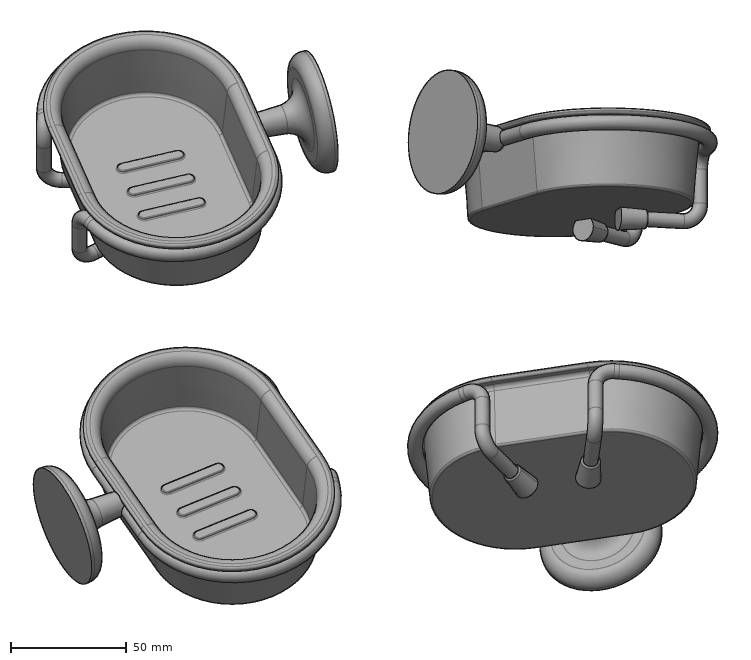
import cadquery as cq
import math


tray_end_x = 21.3
tray_height = 33.3
tray_thickness = 2.7
floor_z = 3.1
rim_radius = 44.5
rim_edge_fillet = 1.2
flare_radius = 4.9
flare_center_radius = 41.7
wall_lean = math.radians(5)
base_edge_fillet = 1.0
floor_fillet = 1.4

rib_count = 3
rib_spacing = 15.0
rib_length = 30.2
rib_width = 5.0
rib_height = 1.1
rib_fillet = 0.48

flange_back_y = 72.0
flange_radius = 27.0
flange_thickness = 7.5
flange_rounding = 6.0
post_axis_z = flange_radius
post_flare_radius = 16.3
post_neck_y = 55.7
post_neck_radius = 6.4
post_tip_y = 42.1
post_tip_radius = 5.5
post_tip_fillet = 2.0

wire_radius = 3.3
ring_end_x = 21.0
ring_center_y = -0.8
ring_radius = 43.6
ring_end_angle = math.radians(18.4)
arm_length = 10.0
bend_radius = 7.9
lower_wire_z = -3.8
lower_wire_length = 36.8

foot_length = 12.5
foot_front_radius = 4.2
foot_end_radius = 5.6
foot_edge_fillet = 0.7


def stadium_solid(half_section):
    """Carry a (radius, Z) half section around the tray's stadium outline."""
    face = cq.Face.makeFromWires(half_section.val())
    whole_width = cq.Vector(2 * tray_end_x, 0, 0)
    left_x = cq.Vector(-tray_end_x, 0, 0)

    middle = cq.Solid.extrudeLinear(face.moved(cq.Location(left_x)), whole_width)
    back_middle = cq.Workplane(middle)
    front_middle = back_middle.mirror("XZ")
    end = cq.Solid.revolve(face, 180, cq.Vector(0, 0, 0), cq.Vector(0, 0, 1))
    left_end = cq.Workplane(end).translate(left_x)
    right_end = left_end.mirror("YZ")
    return right_end.union(left_end).union(back_middle).union(front_middle)


def along_wall(radius_from_flare_center, z):
    """Point at height z on the leaning wall line that is tangent to the given flare circle."""
    flare_center_z = tray_height - flare_radius
    tangent_radius = flare_center_radius - radius_from_flare_center * math.cos(wall_lean)
    tangent_z = flare_center_z + radius_from_flare_center * math.sin(wall_lean)
    return tangent_radius + (z - tangent_z) * math.tan(wall_lean), z


def outer_section():
    """Open outer contour of the tray, from the centre of its base out to the top of the rim."""
    under_flare_radius = flare_radius - tray_thickness
    rim_bottom = tray_height - tray_thickness
    flare_start_z = tray_height - flare_radius + under_flare_radius * math.sin(wall_lean)
    base_radius = along_wall(under_flare_radius, 0)[0]
    return (
        cq.Workplane("YZ")
        .lineTo(base_radius - base_edge_fillet, 0)
        .tangentArcPoint(along_wall(under_flare_radius, base_edge_fillet), relative=False)
        .lineTo(*along_wall(under_flare_radius, flare_start_z))
        .tangentArcPoint((flare_center_radius, rim_bottom), relative=False)
        .lineTo(rim_radius - rim_edge_fillet, rim_bottom)
        .tangentArcPoint((rim_radius, rim_bottom + rim_edge_fillet), relative=False)
        .lineTo(rim_radius, tray_height - rim_edge_fillet)
        .tangentArcPoint((rim_radius - rim_edge_fillet, tray_height), relative=False)
    )


def make_tray_envelope():
    """Tray shape with its inside filled."""
    return stadium_solid(outer_section().lineTo(0, tray_height).close())


def make_tray():
    """Dish with a flared rim and a row of low ribs on its floor."""
    flare_end_z = tray_height - flare_radius + flare_radius * math.sin(wall_lean)
    floor_corner_radius = along_wall(flare_radius, floor_z)[0]
    section = (
        outer_section()
        .lineTo(flare_center_radius, tray_height)
        .tangentArcPoint(along_wall(flare_radius, flare_end_z), relative=False)
        .lineTo(*along_wall(flare_radius, floor_z + floor_fillet))
        .tangentArcPoint((floor_corner_radius - floor_fillet, floor_z), relative=False)
        .lineTo(0, floor_z)
        .close()
    )
    ribs = (
        cq.Workplane("XY", origin=(0, 0, floor_z))
        .rarray(rib_spacing, 1.4, rib_count, 1)
        .slot2D(rib_length, rib_width, 90)
        .extrude(rib_height)
        .faces(">Z")
        .edges()
        .fillet(rib_fillet)
    )
    ribbed_half_x = rib_spacing * rib_count / 2
    rib_foot_zone = cq.selectors.BoxSelector(
        (-ribbed_half_x, -rib_length, floor_z - rib_fillet / 2),
        (ribbed_half_x, rib_length, floor_z + rib_fillet / 2),
    )
    return stadium_solid(section).union(ribs).edges(rib_foot_zone).fillet(rib_fillet)


def make_mount():
    """Round wall flange with its flared, tapering post, turned about the post axis."""
    flange_face_y = flange_back_y - flange_thickness
    mount = (
        cq.Workplane("XY")
        .moveTo(0, flange_back_y)
        .lineTo(flange_radius, flange_back_y)
        .lineTo(flange_radius, flange_face_y + flange_rounding)
        .tangentArcPoint((flange_radius - flange_rounding, flange_face_y), relative=False)
        .lineTo(post_flare_radius, flange_face_y)
        .tangentArcPoint((post_neck_radius, post_neck_y), relative=False)
        .lineTo(post_tip_radius, post_tip_y)
        .lineTo(0, post_tip_y)
        .close()
        .revolve(360, (0, 0, 0), (0, 1, 0))
        .faces("<Y")
        .edges()
        .fillet(post_tip_fillet)
    )
    return mount.translate((0, 0, post_axis_z))


def bend(corner, direction_in, direction_out):
    """Quarter-circle arc that rounds a right-angled corner of the wire."""
    middle_offset = bend_radius * (1 - math.sqrt(0.5))
    return cq.Edge.makeThreePointArc(
        corner - direction_in * bend_radius,
        corner + (direction_out - direction_in) * middle_offset,
        corner + direction_out * bend_radius,
    )


def make_left_wire():
    """Left half of the ring, its leg and its foot."""
    down = cq.Vector(0, 0, -1)
    tangent = cq.Vector(math.cos(ring_end_angle), -math.sin(ring_end_angle), 0)
    inward = cq.Vector(math.sin(ring_end_angle), math.cos(ring_end_angle), 0)

    arc_center = cq.Vector(-ring_end_x, ring_center_y, post_axis_z)
    back_middle = cq.Vector(0, ring_center_y + ring_radius, post_axis_z)
    arc_start = arc_center + cq.Vector(0, ring_radius, 0)
    arc_middle = arc_center + cq.Vector(-ring_radius, 0, 0)
    arc_end = arc_center - inward * ring_radius
    upper_corner = arc_end + tangent * arm_length
    lower_corner = cq.Vector(upper_corner.x, upper_corner.y, lower_wire_z)
    foot_end = lower_corner + inward * lower_wire_length
    foot_front = foot_end - inward * foot_length

    upper_bend = bend(upper_corner, tangent, down)
    lower_bend = bend(lower_corner, down, inward)
    path = cq.Wire.assembleEdges([
        cq.Edge.makeLine(back_middle, arc_start),
        cq.Edge.makeThreePointArc(arc_start, arc_middle, arc_end),
        cq.Edge.makeLine(arc_end, upper_bend.startPoint()),
        upper_bend,
        cq.Edge.makeLine(upper_bend.endPoint(), lower_bend.startPoint()),
        lower_bend,
        cq.Edge.makeLine(lower_bend.endPoint(), foot_front),
    ])
    wire = (
        cq.Workplane("YZ", origin=back_middle.toTuple())
        .circle(wire_radius)
        .sweep(cq.Workplane(path))
    )
    foot = cq.Workplane(
        cq.Solid.makeCone(foot_front_radius, foot_end_radius, foot_length, foot_front, inward)
    )
    foot_front_face = cq.selectors.DirectionMinMaxSelector(inward, False)
    foot = foot.faces(foot_front_face).edges().fillet(foot_edge_fillet)
    return wire.union(foot)


def make_holder():
    """Mount, ring and feet in one piece, with the tray's seat cut out of the post and feet."""
    left_wire = make_left_wire()
    right_wire = left_wire.mirror("YZ")
    holder = make_mount().union(left_wire).union(right_wire)
    return holder.cut(make_tray_envelope())


tray = make_tray()
holder = make_holder()

result = cq.Compound.makeCompound([tray.solids().val(), holder.solids().val()])